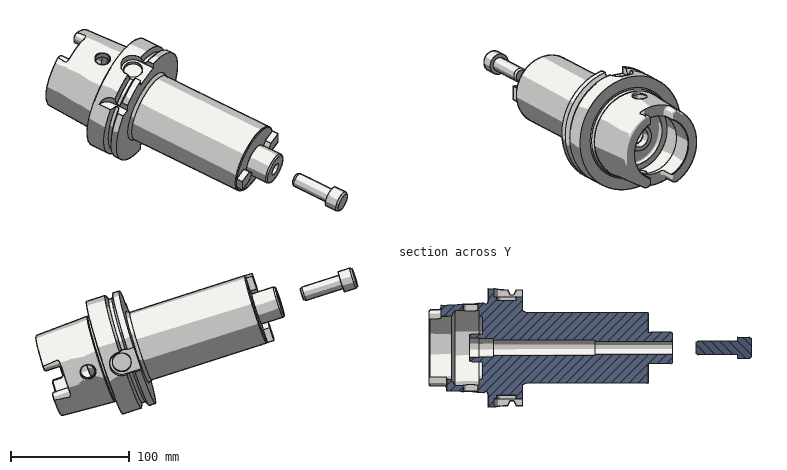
import cadquery as cq
import math


taper_length = 50.0
gauge_radius = 37.5
gauge_distance = 12.5
taper_slope = 0.05
nose_fillet = 2.0
relief_length = 3.4
relief_depth = 0.8
relief_fillet = 1.6
relief_lip_length = 0.5
relief_lip_radius = 39.9

flange_radius = 50.0
flange_width = 29.0
groove_center = 20.0
groove_depth = 4.1
groove_floor_width = 3.0
groove_mouth_width = 7.2

shank_radius = 30.0
shank_end = 135.0
shank_end_chamfer_length = 1.0
shank_end_chamfer_depth = 0.5
shank_root_radius = 31.5
shank_root_length = 3.0
pilot_radius = 13.5
pilot_length = 20.4
pilot_chamfer_length = 1.5
pilot_chamfer_depth = 0.8
undercut_radius = 13.3
undercut_length = 1.8
undercut_run_out = 0.8

key_width = 12.0
key_height = 5.5
key_outer = 29.2
key_shoulder = 17.5
key_tip = 13.4

mouth_radius = 26.9
mouth_chamfer_length = 0.7
bore_radius = 26.5
clamp_recess_radius = 31.5
clamp_cone_start = -31.0
clamp_cone_angle = 60.0
clamp_recess_end = -8.0
bore_floor = -5.0
bore_floor_fillet = 1.5
boss_radius = 12.0
boss_end = -15.7
boss_chamfer_length = 2.5
boss_chamfer_depth = 0.8
boss_hole_radius = 8.0
boss_hole_depth = 8.0
boss_bore_radius = 7.65
boss_bore_depth = 20.0
passage_radius = 6.25
thread_hole_radius = 5.25
thread_hole_start = 90.0

wall_hole_radius = 6.0
wall_hole_x = -15.0
wall_hole_sink_radius = 6.8

slot_half_width = 10.0
slot_flare_radius = 4.2
slot_flare_top = 32.2
slot_floor_fillet = 2.0
slot_mouth_fillet = 2.0
upper_slot_depth = 10.0
lower_slot_depth = 15.0
selector_margin = 0.1

keyway_radius = 10.25
keyway_center_x = 15.2
keyway_floor = 43.0
keyway_hole_radius = 8.0
keyway_hole_depth = 3.0
notch_floor = 31.7
notch_center_x = 14.6
notch_cutter_radius = 9.7

screw_tip = 175.0
screw_radius = 6.0
screw_length = 35.0
screw_tip_chamfer_length = 2.0
screw_tip_chamfer_depth = 1.2
head_radius = 9.0
head_length = 12.0
head_chamfer_length = 1.8
head_chamfer_depth = 1.2


def revolve_about_x(profile):
    """Turn a closed (x, radius) outline about the tool axis."""
    return profile.close().revolve(360, (0, 0, 0), (1, 0, 0))


def x_cylinder(radius, start, end):
    return cq.Workplane("YZ").workplane(offset=start).circle(radius).extrude(end - start)


def taper_radius(x):
    return gauge_radius + taper_slope * (x + gauge_distance)


def make_turned_body():
    relief_start = -relief_length
    relief_radius = taper_radius(relief_start) - relief_depth
    groove_floor_radius = flange_radius - groove_depth
    floor_half = groove_floor_width / 2
    mouth_half = groove_mouth_width / 2
    pilot_end = shank_end + pilot_length
    profile = (
        cq.Workplane("XY")
        .moveTo(-taper_length, 0)
        .lineTo(-taper_length, taper_radius(-taper_length))
        .lineTo(relief_start, taper_radius(relief_start))
        .lineTo(relief_start + relief_depth, relief_radius)
        .lineTo(-relief_lip_length - relief_fillet, relief_radius)
        .radiusArc((-relief_lip_length, relief_radius + relief_fillet), -relief_fillet)
        .lineTo(0, relief_lip_radius)
        .lineTo(0, flange_radius)
        .lineTo(groove_center - mouth_half, flange_radius)
        .lineTo(groove_center - floor_half, groove_floor_radius)
        .lineTo(groove_center + floor_half, groove_floor_radius)
        .lineTo(groove_center + mouth_half, flange_radius)
        .lineTo(flange_width, flange_radius)
        .lineTo(flange_width, shank_root_radius)
        .lineTo(flange_width + shank_root_length, shank_radius)
        .lineTo(shank_end - shank_end_chamfer_length, shank_radius)
        .lineTo(shank_end, shank_radius - shank_end_chamfer_depth)
        .lineTo(shank_end, undercut_radius)
        .lineTo(shank_end + undercut_length, undercut_radius)
        .lineTo(shank_end + undercut_length + undercut_run_out, pilot_radius)
        .lineTo(pilot_end - pilot_chamfer_length, pilot_radius)
        .lineTo(pilot_end, pilot_radius - pilot_chamfer_depth)
        .lineTo(pilot_end, 0)
    )
    return revolve_about_x(profile)


def make_bore():
    """Space inside the taper, widened by the clamping recess and leaving the coolant boss."""
    cone_length = (clamp_recess_radius - bore_radius) / math.tan(math.radians(clamp_cone_angle))
    profile = (
        cq.Workplane("XY")
        .moveTo(-taper_length, 0)
        .lineTo(-taper_length, mouth_radius)
        .lineTo(-taper_length + mouth_chamfer_length, bore_radius)
        .lineTo(clamp_cone_start, bore_radius)
        .lineTo(clamp_cone_start + cone_length, clamp_recess_radius)
        .lineTo(clamp_recess_end, clamp_recess_radius)
        .lineTo(clamp_recess_end, bore_radius)
        .lineTo(bore_floor - bore_floor_fillet, bore_radius)
        .radiusArc((bore_floor, bore_radius - bore_floor_fillet), bore_floor_fillet)
        .lineTo(bore_floor, boss_radius)
        .lineTo(boss_end + boss_chamfer_length, boss_radius)
        .lineTo(boss_end, boss_radius - boss_chamfer_depth)
        .lineTo(boss_end, 0)
    )
    return revolve_about_x(profile)


def make_through_passage():
    boss_hole = x_cylinder(boss_hole_radius, boss_end, boss_end + boss_hole_depth)
    boss_bore = x_cylinder(boss_bore_radius, boss_end, boss_end + boss_bore_depth)
    passage = x_cylinder(passage_radius, boss_end, thread_hole_start)
    thread_hole = x_cylinder(thread_hole_radius, boss_end, shank_end + pilot_length)
    return boss_hole.union(boss_bore).union(passage).union(thread_hole)


def make_wall_hole():
    """Radial hole through the upper wall of the taper, stopping short of the coolant boss."""
    wall_plane = cq.Workplane("XY", origin=(wall_hole_x, 0, (boss_radius + bore_radius) / 2))
    hole = wall_plane.circle(wall_hole_radius).extrude(flange_radius)
    outside = taper_radius(wall_hole_x)
    sink = cq.Solid.makeCone(
        0, 2 * wall_hole_sink_radius, 2 * wall_hole_sink_radius,
        pnt=cq.Vector(wall_hole_x, 0, outside - wall_hole_sink_radius),
    )
    return hole.union(cq.Workplane(sink))


def make_drive_slot(depth):
    """Slot across the upper wall of the taper, flaring outward near the outside and at its mouth."""
    floor_x = depth - taper_length
    flare_half_width = slot_half_width + slot_flare_radius
    flare_start = slot_flare_top - slot_flare_radius
    straight_slot = (
        cq.Workplane("YZ", origin=(floor_x, 0, 0))
        .moveTo(-slot_half_width, 0)
        .lineTo(-slot_half_width, flare_start)
        .radiusArc((-flare_half_width, slot_flare_top), -slot_flare_radius)
        .lineTo(-flange_radius, slot_flare_top)
        .lineTo(-flange_radius, flange_radius)
        .lineTo(flange_radius, flange_radius)
        .lineTo(flange_radius, slot_flare_top)
        .lineTo(flare_half_width, slot_flare_top)
        .radiusArc((slot_half_width, flare_start), -slot_flare_radius)
        .lineTo(slot_half_width, 0)
        .close()
        .extrude(-depth)
    )
    wall_ends = cq.selectors.BoxSelector(
        (floor_x - selector_margin, -flare_half_width, selector_margin),
        (floor_x + selector_margin, flare_half_width, slot_flare_top),
    )
    straight_slot = straight_slot.edges(wall_ends).fillet(slot_floor_fillet)

    block = (
        cq.Workplane("XY", origin=(-taper_length, 0, 0))
        .box(depth, 2 * flange_radius, flange_radius, centered=(False, True, False))
    )
    walls = block.cut(straight_slot)
    for wall in walls.solids().vals():
        block = block.cut(cq.Workplane(wall).faces("<X").edges("%CIRCLE").fillet(slot_mouth_fillet))
    return block


def make_keyway():
    """Round-ended keyway in the flange rim, open toward the shank, with a round sink in its floor."""
    height = flange_radius - keyway_floor
    length = flange_width - keyway_center_x
    floor_plane = cq.Workplane("XY", origin=(keyway_center_x, 0, keyway_floor))
    round_end = floor_plane.circle(keyway_radius).extrude(height)
    straight = floor_plane.center(length / 2, 0).rect(length, 2 * keyway_radius).extrude(height)
    sink = floor_plane.circle(keyway_hole_radius).extrude(-keyway_hole_depth)
    return round_end.union(straight).union(sink)


def make_corner_notch():
    """Square-cornered notch in the flange rim at -Y +Z, with a round inner end."""
    height = flange_radius - notch_floor
    length = flange_width - notch_center_x
    center_y = -(notch_floor + notch_cutter_radius)
    floor_plane = cq.Workplane("XY", origin=(notch_center_x, center_y, notch_floor))
    round_end = floor_plane.circle(notch_cutter_radius).extrude(height)
    straight = floor_plane.center(length / 2, 0).rect(length, 2 * notch_cutter_radius).extrude(height)
    return round_end.union(straight)


def make_key():
    half = key_width / 2
    return (
        cq.Workplane("YZ", origin=(shank_end - shank_end_chamfer_length, 0, 0))
        .moveTo(key_outer, -half)
        .lineTo(key_outer, half)
        .lineTo(key_shoulder, half)
        .lineTo(key_tip, 0)
        .lineTo(key_shoulder, -half)
        .close()
        .extrude(key_height + shank_end_chamfer_length)
    )


def make_holder():
    turned = make_turned_body()
    body = turned.cut(make_bore()).cut(make_through_passage())
    for angle, depth in ((0, upper_slot_depth), (180, lower_slot_depth)):
        body = body.cut(make_drive_slot(depth).rotate((0, 0, 0), (1, 0, 0), angle))
    body = body.intersect(turned.faces("<X").edges().fillet(nose_fillet))
    for angle in (0, 180):
        body = body.union(make_key().rotate((0, 0, 0), (1, 0, 0), angle))
        for cutter in (make_wall_hole(), make_keyway()):
            body = body.cut(cutter.rotate((0, 0, 0), (1, 0, 0), angle))
    return body.cut(make_corner_notch())


def make_screw():
    head_start = screw_tip + screw_length
    head_end = head_start + head_length
    profile = (
        cq.Workplane("XY")
        .moveTo(screw_tip, 0)
        .lineTo(screw_tip, screw_radius - screw_tip_chamfer_depth)
        .lineTo(screw_tip + screw_tip_chamfer_length, screw_radius)
        .lineTo(head_start, screw_radius)
        .lineTo(head_start, head_radius)
        .lineTo(head_end - head_chamfer_length, head_radius)
        .lineTo(head_end, head_radius - head_chamfer_depth)
        .lineTo(head_end, 0)
    )
    return revolve_about_x(profile)


holder = make_holder()
screw = make_screw()
result = cq.Compound.makeCompound([holder.val(), screw.val()])